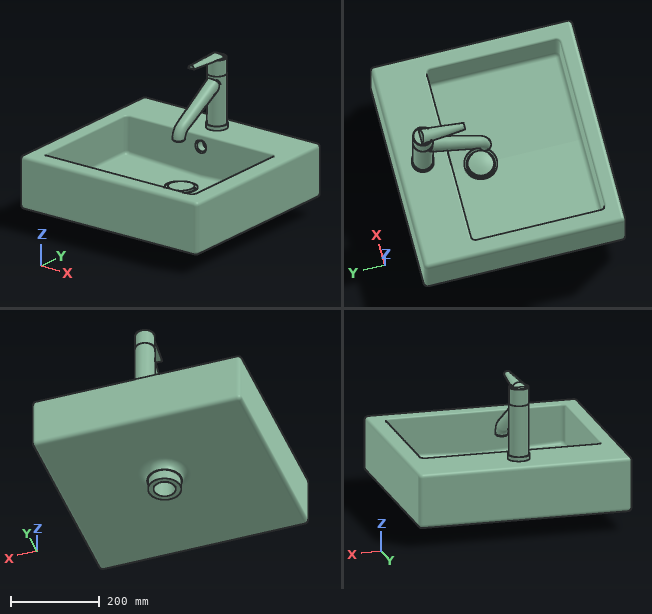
import cadquery as cq
import math


BASIN_WIDTH = 500.0
BASIN_LENGTH = 470.0
BASIN_HEIGHT = 130.0
OUTER_ROUND = 10.0

BOWL_WIDTH = 420.0
BOWL_FRONT_Y = -196.0
BOWL_BACK_Y = 114.0
BOWL_CORNER_ROUND = 10.0
BOWL_RIM_ROUND = 5.0
FLOOR_VALLEY_DEPTH = 105.0
FLOOR_EDGE_DEPTH = 95.0

OVERFLOW_DIA = 25.0
OVERFLOW_Z = -29.0
OVERFLOW_LENGTH = 25.0
OVERFLOW_BEVEL = 3.0

DRAIN_Y = 40.0
DRAIN_DIA = 75.0
DRAIN_BOTTOM_Z = -175.0
DRAIN_BORE_DIA = 50.0
DRAIN_SEAT_DIA = 65.0
DRAIN_SEAT_DEPTH = 3.5
NECK_DIA = 79.0
NECK_FLARE = 20.0
PLUG_DIA = 60.0
PLUG_RIM_RISE = 4.0
PLUG_DOME_RISE = 4.5
PLUG_STEM_LENGTH = 25.0

TAP_Y = 175.0
BASE_RING_DIA = 50.0
BASE_RING_HEIGHT = 10.0
COLUMN_DIA = 46.0
COLUMN_TOP_Z = 130.0
HEAD_DIA = 45.0
HEAD_TOP_Z = 170.0
HEAD_CHAMFER = 1.5

ARM_ROOT_DIA = 36.0
ARM_ROOT_Y = 165.0
SPOUT_DIA = 29.0
ARM_FALL_ANGLE = 30.0
ELBOW_RADIUS = 31.0
MOUTH_DIA = 22.0
MOUTH_BOTTOM_Z = 11.5
MOUTH_Y = 31.0

LEVER_BACK_Y = 181.0
LEVER_TIP_Y = 78.0
LEVER_TOP_Z = 180.0
LEVER_BACK_DIA = 42.0
LEVER_TIP_DIA = 16.0
LEVER_BACK_BEVEL = 6.5


def upright_cylinder(diameter, bottom_z, top_z, centre_y):
    return (
        cq.Workplane("XY", origin=(0, centre_y, bottom_z))
        .circle(diameter / 2)
        .extrude(top_z - bottom_z)
    )


def make_bowl_cavity():
    """Hollow of the bowl: its floor falls from both sides to a valley along X = 0."""
    half = BOWL_WIDTH / 2
    cavity = (
        cq.Workplane("XZ", origin=(0, BOWL_FRONT_Y, 0))
        .moveTo(-half, 0)
        .lineTo(-half, -FLOOR_EDGE_DEPTH)
        .lineTo(0, -FLOOR_VALLEY_DEPTH)
        .lineTo(half, -FLOOR_EDGE_DEPTH)
        .lineTo(half, 0)
        .close()
        .extrude(-(BOWL_BACK_Y - BOWL_FRONT_Y))
    )
    return cavity.edges("not (>Z or <Z)").fillet(BOWL_CORNER_ROUND)


def make_neck():
    """Collar under the basin that flares into the underside around the drain."""
    radius = NECK_DIA / 2
    top_z = -BASIN_HEIGHT
    return (
        cq.Workplane("XZ", origin=(0, DRAIN_Y, 0))
        .moveTo(0, top_z - NECK_FLARE)
        .lineTo(radius, top_z - NECK_FLARE)
        .radiusArc((radius + NECK_FLARE, top_z), NECK_FLARE)
        .lineTo(0, top_z)
        .close()
        .revolve(360, (0, 0, 0), (0, 1, 0))
    )


def make_overflow():
    radius = OVERFLOW_DIA / 2
    return (
        cq.Workplane("XY", origin=(0, BOWL_BACK_Y, OVERFLOW_Z))
        .moveTo(0, 0)
        .lineTo(radius + OVERFLOW_BEVEL, 0)
        .lineTo(radius, OVERFLOW_BEVEL)
        .lineTo(radius, OVERFLOW_LENGTH)
        .lineTo(0, OVERFLOW_LENGTH)
        .close()
        .revolve(360, (0, 0, 0), (0, 1, 0))
    )


def make_basin():
    block = (
        cq.Workplane("XY")
        .box(BASIN_WIDTH, BASIN_LENGTH, BASIN_HEIGHT)
        .translate((0, 0, -BASIN_HEIGHT / 2))
        .edges()
        .fillet(OUTER_ROUND)
    )
    basin = block.cut(make_bowl_cavity())
    inner_x = BASIN_WIDTH / 2 - 2 * OUTER_ROUND
    inner_y = BASIN_LENGTH / 2 - 2 * OUTER_ROUND
    rim = cq.selectors.BoxSelector(
        (-inner_x, -inner_y, -OUTER_ROUND),
        (inner_x, inner_y, OUTER_ROUND),
        boundingbox=True,
    )
    basin = basin.edges(rim).fillet(BOWL_RIM_ROUND)
    drain_hole = upright_cylinder(DRAIN_DIA, DRAIN_BOTTOM_Z, 0, DRAIN_Y)
    return basin.union(make_neck()).cut(drain_hole).cut(make_overflow())


def make_drain():
    """Pipe with a conical seat around the plug."""
    outer = DRAIN_DIA / 2
    bore = DRAIN_BORE_DIA / 2
    seat_z = -FLOOR_VALLEY_DEPTH - DRAIN_SEAT_DEPTH
    return (
        cq.Workplane("XZ", origin=(0, DRAIN_Y, 0))
        .moveTo(bore, DRAIN_BOTTOM_Z)
        .lineTo(outer, DRAIN_BOTTOM_Z)
        .lineTo(outer, -FLOOR_VALLEY_DEPTH)
        .lineTo(DRAIN_SEAT_DIA / 2, seat_z)
        .lineTo(bore, seat_z)
        .close()
        .revolve(360, (0, 0, 0), (0, 1, 0))
    )


def make_plug():
    """Domed cap resting on the drain seat, with a stem that fills the bore below it."""
    seat_z = -FLOOR_VALLEY_DEPTH - DRAIN_SEAT_DEPTH
    rim_z = -FLOOR_VALLEY_DEPTH + PLUG_RIM_RISE
    rim = PLUG_DIA / 2
    stem = DRAIN_BORE_DIA / 2
    dome_radius = (rim**2 + PLUG_DOME_RISE**2) / (2 * PLUG_DOME_RISE)
    return (
        cq.Workplane("XZ", origin=(0, DRAIN_Y, 0))
        .moveTo(0, seat_z - PLUG_STEM_LENGTH)
        .lineTo(stem, seat_z - PLUG_STEM_LENGTH)
        .lineTo(stem, seat_z)
        .lineTo(rim, seat_z)
        .lineTo(rim, rim_z)
        .radiusArc((0, rim_z + PLUG_DOME_RISE), -dome_radius)
        .close()
        .revolve(360, (0, 0, 0), (0, 1, 0))
    )


def make_spout():
    """Arm rooted inside the column, elbow and mouth, all centred on the plane X = 0."""
    angle = math.radians(ARM_FALL_ANGLE)
    mouth_top_z = MOUTH_BOTTOM_Z + (SPOUT_DIA - MOUTH_DIA) / 2
    elbow_y = MOUTH_Y + ELBOW_RADIUS * (1 - math.sin(angle))
    elbow_z = mouth_top_z + ELBOW_RADIUS * math.cos(angle)
    arm_length = (ARM_ROOT_Y - elbow_y) / math.cos(angle)
    root_z = elbow_z + arm_length * math.sin(angle)

    arm_root = cq.Vector(0, ARM_ROOT_Y, root_z)
    arm_direction = cq.Vector(0, -math.cos(angle), -math.sin(angle))
    arm = cq.Workplane(
        cq.Solid.makeCone(ARM_ROOT_DIA / 2, SPOUT_DIA / 2, arm_length, arm_root, arm_direction)
    )
    elbow = (
        cq.Workplane("XY", origin=(0, MOUTH_Y, mouth_top_z))
        .circle(SPOUT_DIA / 2)
        .revolve(90 - ARM_FALL_ANGLE, (5, ELBOW_RADIUS, 0), (0, ELBOW_RADIUS, 0))
    )
    mouth = cq.Workplane(
        cq.Solid.makeCone(
            MOUTH_DIA / 2,
            SPOUT_DIA / 2,
            mouth_top_z - MOUTH_BOTTOM_Z,
            cq.Vector(0, MOUTH_Y, MOUTH_BOTTOM_Z),
            cq.Vector(0, 0, 1),
        )
    )
    return arm.union(elbow).union(mouth)


def make_column():
    """Upright tube standing on its base ring, with a hole that fits the root of the spout."""
    base_ring = upright_cylinder(BASE_RING_DIA, 0, BASE_RING_HEIGHT, TAP_Y)
    tube = upright_cylinder(COLUMN_DIA, 0, COLUMN_TOP_Z, TAP_Y)
    return tube.union(base_ring).cut(make_spout())


def make_head():
    head = upright_cylinder(HEAD_DIA, COLUMN_TOP_Z, HEAD_TOP_Z, TAP_Y)
    return head.faces(">Z").chamfer(HEAD_CHAMFER)


def make_lever():
    back_centre = cq.Vector(0, LEVER_BACK_Y, LEVER_TOP_Z - LEVER_BACK_DIA / 2)
    tip_centre = cq.Vector(0, LEVER_TIP_Y, HEAD_TOP_Z)
    axis = tip_centre - back_centre
    cone = cq.Workplane(
        cq.Solid.makeCone(LEVER_BACK_DIA / 2, LEVER_TIP_DIA / 2, axis.Length, back_centre, axis)
    )
    side_outline = (
        cq.Workplane("YZ")
        .moveTo(LEVER_TIP_Y, HEAD_TOP_Z)
        .lineTo(LEVER_BACK_Y, HEAD_TOP_Z)
        .lineTo(LEVER_BACK_Y - LEVER_BACK_BEVEL, LEVER_TOP_Z)
        .lineTo(LEVER_TIP_Y, LEVER_TOP_Z)
        .close()
        .extrude(LEVER_BACK_DIA / 2, both=True)
    )
    return cone.intersect(side_outline)


basin = make_basin()
drain = make_drain()
plug = make_plug()
column = make_column()
spout = make_spout()
head = make_head()
lever = make_lever()

result = cq.Compound.makeCompound(
    [
        basin.val(),
        drain.val(),
        plug.val(),
        column.val(),
        spout.val(),
        head.val(),
        lever.val(),
    ]
)